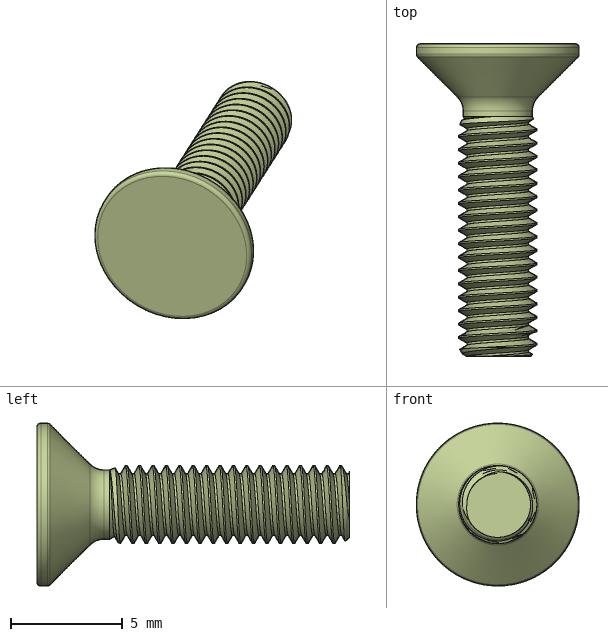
import cadquery as cq
import math


total_length = 14.0
head_diameter = 7.3
head_radius = head_diameter / 2
head_rim_fillet = 0.18

cone_half_angle = math.radians(45)
neck_radius = 1.55
neck_fillet = 0.9
neck_fillet_end = 3.01

counted_turns = 7
advance_of_counted_turns = 4.2
pitch = advance_of_counted_turns / counted_turns
major_radius = 1.75
minor_radius = 1.39
flank_half_angle = math.radians(30)
crest_width = pitch / 8
thread_start = 3.26
runout_length = 0.49
tip_taper_length = 0.28
tip_taper_depth = 0.17
tip_chamfer = 0.11
groove_start = 2.8
groove_start_angle = -90
cutter_overlap = 0.04

plug_length = 0.36
plug_end_radius = 1.33


def revolve_about_z(profile):
    """Turn a closed (radius, z) profile into a solid of revolution."""
    return profile.close().revolve(360, (0, 0, 0), (0, 1, 0))


def make_head_and_neck():
    """Rim, cone, neck fillet and neck, ending in a conical plug inside the thread."""
    fillet_centre_radius = neck_radius + neck_fillet
    cone_end_radius = fillet_centre_radius - neck_fillet * math.cos(cone_half_angle)
    cone_end = neck_fillet_end - neck_fillet * math.sin(cone_half_angle)
    fillet_mid = (
        fillet_centre_radius - neck_fillet * math.cos(cone_half_angle / 2),
        neck_fillet_end - neck_fillet * math.sin(cone_half_angle / 2),
    )
    rim_end = cone_end - (head_radius - cone_end_radius) / math.tan(cone_half_angle)
    plug_end = thread_start + plug_length

    body = revolve_about_z(
        cq.Workplane("XZ")
        .lineTo(head_radius, 0)
        .lineTo(head_radius, rim_end)
        .lineTo(cone_end_radius, cone_end)
        .threePointArc(fillet_mid, (neck_radius, neck_fillet_end))
        .lineTo(neck_radius, thread_start)
        .lineTo(plug_end_radius, plug_end)
        .lineTo(0, plug_end)
    )
    rim_edges = cq.selectors.BoxSelector(
        (-head_radius, -head_radius, -rim_end), (head_radius, head_radius, 2 * rim_end)
    )
    return body.edges(rim_edges).fillet(head_rim_fillet)


def make_thread_envelope():
    """Outer limits of the thread: tapers at the neck and at the tip, and a chamfer on the tip."""
    taper_end = total_length - tip_chamfer
    taper_end_radius = major_radius - tip_taper_depth
    return revolve_about_z(
        cq.Workplane("XZ")
        .moveTo(0, thread_start)
        .lineTo(neck_radius, thread_start)
        .lineTo(major_radius, thread_start + runout_length)
        .lineTo(major_radius, taper_end - tip_taper_length)
        .lineTo(taper_end_radius, taper_end)
        .lineTo(taper_end_radius - tip_chamfer, total_length)
        .lineTo(0, total_length)
    )


def make_groove_cutter():
    """Sweep the V-shaped thread groove along a right-hand helix that runs past the tip."""
    outer_radius = major_radius + cutter_overlap
    flank_slope = math.tan(flank_half_angle)
    outer_half = (pitch - crest_width) / 2 + cutter_overlap * flank_slope
    root_half = outer_half - (outer_radius - minor_radius) * flank_slope
    helix_height = total_length + pitch - groove_start

    helix = cq.Wire.makeHelix(pitch, helix_height, minor_radius)
    return (
        cq.Workplane("XZ")
        .polyline([
            (minor_radius, -root_half),
            (outer_radius, -outer_half),
            (outer_radius, outer_half),
            (minor_radius, root_half),
        ])
        .close()
        .sweep(cq.Workplane(obj=helix), isFrenet=True)
        .rotate((0, 0, 0), (0, 0, 1), groove_start_angle)
        .translate((0, 0, groove_start))
    )


def make_threaded_rod():
    """Groove a plain rod longer than the thread, then trim it to the thread envelope."""
    rod_start = groove_start - pitch
    rod_end = total_length + 2 * pitch
    rod = cq.Workplane("XY").workplane(offset=rod_start).circle(major_radius).extrude(rod_end - rod_start)
    return make_thread_envelope().intersect(rod.cut(make_groove_cutter()))


screw = make_head_and_neck().union(make_threaded_rod())
result = screw.rotate((0, 0, 0), (1, 0, 0), 90)